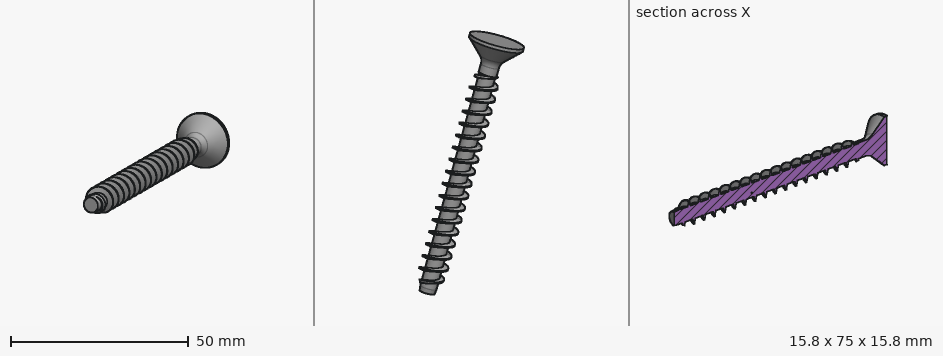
import cadquery as cq
import math

length = 75.0
head_radius = 7.91
rim_thickness = 1.05

shank_radius = 2.66
shank_end = 10.05
blend_radius = 3.15
blend_end = 7.6

core_radius = 2.4
tip_radius = 2.21

thread_radius = 4.01
thread_entry_radius = 3.15
fade_in_end = 13.95
fade_out_start = 69.75
fade_out_end = 73.5
pitch = 3.589
thread_crossing = 11.3
turns_per_ridge = 3
ridge_count = 6
crest_width = 0.4
root_width = 1.3
root_overlap = 0.45

run_past = 4.5
envelope_clearance = 0.4
seam_angle = 90


def revolve_profile(profile):
    """Revolve a closed radius-height profile about local Z."""
    return profile.close().revolve(360, (0, 0, 0), (0, 1, 0))


def make_head_and_shank():
    """Rim, head cone, blend and plain shank, with the head face at local Z = 0."""
    half_angle = math.radians(45)
    blend_start = blend_end - blend_radius * math.sin(half_angle)
    blend_start_radius = shank_radius + blend_radius * (1 - math.cos(half_angle))
    blend_middle = (
        shank_radius + blend_radius * (1 - math.cos(half_angle / 2)),
        blend_end - blend_radius * math.sin(half_angle / 2),
    )
    return revolve_profile(
        cq.Workplane("XZ")
        .lineTo(head_radius, 0)
        .lineTo(head_radius, rim_thickness)
        .lineTo(blend_start_radius, blend_start)
        .threePointArc(blend_middle, (shank_radius, blend_end))
        .lineTo(shank_radius, shank_end)
        .lineTo(0, shank_end)
    )


def make_core():
    """Plain core, longer at both ends than the finished stretch."""
    core_start = shank_end - run_past
    core = cq.Workplane("XY").workplane(offset=core_start).circle(core_radius)
    return core.extrude(length + run_past - core_start)


def make_ridge():
    """Full-height helical trapezoid, a few turns long, starting on the -X side."""
    base_radius = core_radius - root_overlap
    start = thread_crossing - pitch / 2
    height = turns_per_ridge * pitch
    helix = cq.Wire.makeHelix(pitch, height, base_radius, center=cq.Vector(0, 0, start))
    ridge = (
        cq.Workplane("XZ")
        .moveTo(base_radius, start - root_width / 2)
        .lineTo(thread_radius, start - crest_width / 2)
        .lineTo(thread_radius, start + crest_width / 2)
        .lineTo(base_radius, start + root_width / 2)
        .close()
        .sweep(cq.Workplane(helix), isFrenet=True)
    )
    return ridge.rotate((0, 0, 0), (0, 0, 1), 180)


def make_threaded_stretch():
    """Core with ridges joined end to end, trimmed by the envelope."""
    threaded = make_core().rotate((0, 0, 0), (0, 0, 1), seam_angle)
    ridge = make_ridge()
    for i in range(ridge_count):
        threaded = threaded.union(ridge.translate((0, 0, i * turns_per_ridge * pitch)), clean=False)
    envelope = make_envelope().rotate((0, 0, 0), (0, 0, 1), seam_angle)
    return threaded.intersect(envelope, clean=False)


def make_envelope():
    """Revolved limit of the thread: its ramps fade both ends and clear the full turns."""
    entry_slope = (fade_in_end - shank_end) / (thread_radius - thread_entry_radius)
    exit_slope = (fade_out_end - fade_out_start) / (thread_radius - core_radius)
    envelope_radius = thread_radius + envelope_clearance
    return revolve_profile(
        cq.Workplane("XZ")
        .moveTo(0, shank_end)
        .lineTo(thread_entry_radius, shank_end)
        .lineTo(envelope_radius, fade_in_end + envelope_clearance * entry_slope)
        .lineTo(envelope_radius, fade_out_start - envelope_clearance * exit_slope)
        .lineTo(core_radius, fade_out_end)
        .lineTo(tip_radius, length)
        .lineTo(0, length)
    )


screw = make_threaded_stretch().union(make_head_and_shank())
result = screw.rotate((0, 0, 0), (1, 0, 0), 90)